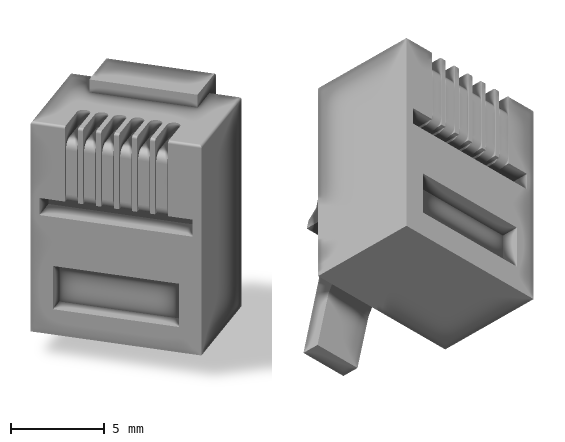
import cadquery as cq


BODY_WIDTH = 9.63
BODY_DEPTH = 6.65
BODY_HEIGHT = 12.32
BODY_EDGE_RADIUS = 0.15

POCKET_DEPTH = 1.05
POCKET_WIDTH = 7.1
POCKET_HEIGHT = 2.54
POCKET_BASE = 1.49
GROOVE_WIDTH = 8.63
GROOVE_HEIGHT = 1.0
GROOVE_BASE = 6.91
GROOVE_DEPTH = 1.5

CONTACT_COUNT = 6
CONTACT_PITCH = 1.016
CONTACT_ROW_X = 0.03
SLOT_WIDTH = 0.73
SLOT_DEPTH = 2.36
SLOT_BASE = 7.8
BLADE_SIDE_GAP = 0.05
BLADE_RECESS = 0.02
BLADE_TOP = 11.48
BLADE_RADIUS = 0.53

LATCH_WIDTH = 6.1
TAIL_WIDTH = 3.03
LATCH_TOP = 13.08
LATCH_HEIGHT = 14.29
LATCH_FRONT = 4.56
LATCH_BACK = 7.67
LATCH_EDGE_RADIUS = 0.35
HEAD_BASE = 9.76
ARM_INNER_START = 7.0
STEP_TOP = (8.54, 6.27)
STEP_BOTTOM = (9.12, 5.72)
TAIL_TOP = 5.26
TAIL_TOP_OUTER = 9.26
TAIL_TOP_INNER = 8.01
TAIL_BEND_UPPER = (8.52, 2.81)
TAIL_BEND_LOWER = (9.14, 1.74)
TAIL_TIP_OUTER = 11.03
TAIL_TIP_INNER = 9.97
TAIL_TIP = LATCH_TOP - LATCH_HEIGHT


def make_block(width, depth, height, front, base, center_x=0):
    """Box centred on center_x, reaching back from front and up from base."""
    block = cq.Workplane("XY").box(width, depth, height, centered=(True, False, False))
    return block.translate((center_x, front, base))


def make_plate(outline, width):
    """Solid of a closed (Y, Z) outline, extruded symmetrically about X = 0."""
    return cq.Workplane("YZ").polyline(outline).close().extrude(width / 2, both=True)


def make_body():
    body = make_block(BODY_WIDTH, BODY_DEPTH, BODY_HEIGHT, 0, 0)
    body = body.faces(">Z").edges().fillet(BODY_EDGE_RADIUS)
    pocket = make_block(POCKET_WIDTH, POCKET_DEPTH, POCKET_HEIGHT, 0, POCKET_BASE)
    groove = make_block(GROOVE_WIDTH, GROOVE_DEPTH, GROOVE_HEIGHT, 0, GROOVE_BASE)
    return body.cut(pocket).cut(groove)


def make_slot(center_x):
    """Slot open to the front and top, with a round rear end."""
    end_radius = SLOT_WIDTH / 2
    height = BODY_HEIGHT - SLOT_BASE
    slot = make_block(SLOT_WIDTH, SLOT_DEPTH - end_radius, height, 0, SLOT_BASE, center_x)
    rear_end = cq.Workplane("XY").circle(end_radius).extrude(height)
    return slot.union(rear_end.translate((center_x, SLOT_DEPTH - end_radius, SLOT_BASE)))


def make_blade(center_x):
    """Contact blade with rounded front corners, rooted in the rear of its slot."""
    blade = make_block(
        SLOT_WIDTH - 2 * BLADE_SIDE_GAP,
        SLOT_DEPTH - BLADE_RECESS,
        BLADE_TOP - SLOT_BASE,
        BLADE_RECESS,
        SLOT_BASE,
        center_x,
    )
    return blade.faces("<Y").edges("|X").fillet(BLADE_RADIUS)


def make_latch():
    head = make_block(
        LATCH_WIDTH, LATCH_BACK - LATCH_FRONT, LATCH_TOP - HEAD_BASE, LATCH_FRONT, HEAD_BASE
    )
    head = head.edges(">Y and >Z").fillet(LATCH_EDGE_RADIUS)
    arm = make_plate(
        [
            (LATCH_BACK, HEAD_BASE),
            STEP_TOP,
            STEP_BOTTOM,
            (TAIL_TOP_OUTER, TAIL_TOP),
            (TAIL_TOP_INNER, TAIL_TOP),
            (ARM_INNER_START, HEAD_BASE),
        ],
        LATCH_WIDTH,
    )
    tail = make_plate(
        [
            (TAIL_TOP_OUTER, TAIL_TOP),
            (TAIL_TIP_OUTER, TAIL_TIP),
            (TAIL_TIP_INNER, TAIL_TIP),
            TAIL_BEND_LOWER,
            TAIL_BEND_UPPER,
            (TAIL_TOP_INNER, TAIL_TOP),
        ],
        TAIL_WIDTH,
    )
    return head.union(arm).union(tail)


result = make_body().union(make_latch())
for index in range(CONTACT_COUNT):
    contact_x = CONTACT_ROW_X + (index - (CONTACT_COUNT - 1) / 2) * CONTACT_PITCH
    result = result.cut(make_slot(contact_x)).union(make_blade(contact_x))